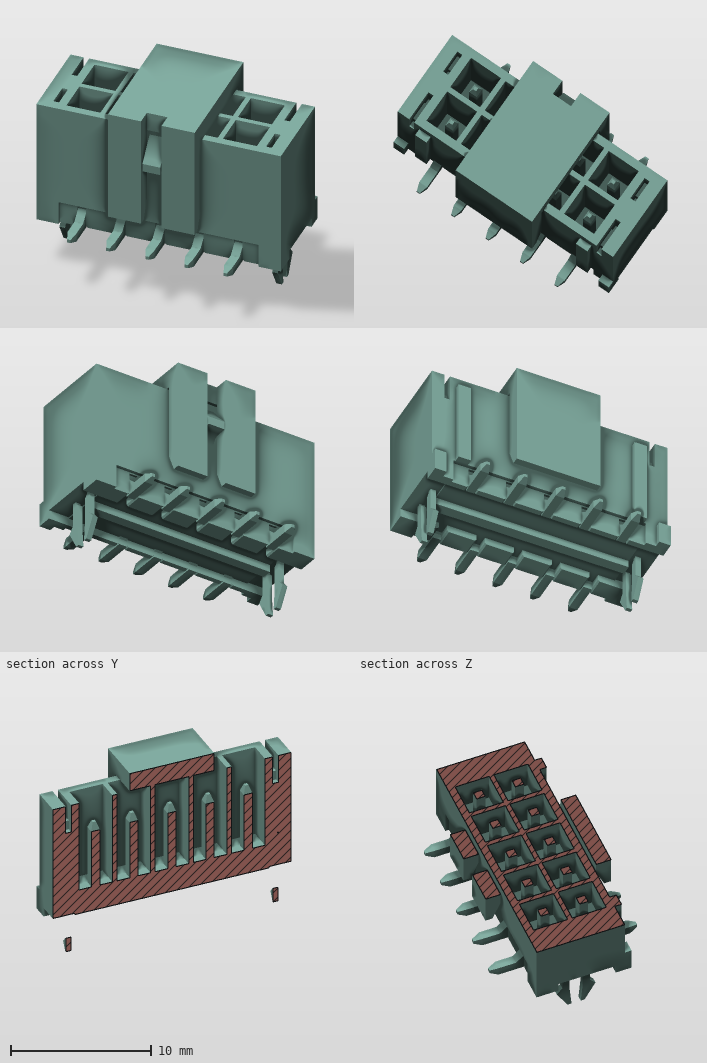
import cadquery as cq
import math


housing_length = 18.7
housing_depth = 6.83
housing_height = 9.9
half_length = housing_length / 2
half_depth = housing_depth / 2

columns = 5
pitch = 3.0
row_offset = pitch / 2
column_positions = [(i - (columns - 1) / 2) * pitch for i in range(columns)]
cell_size = 2.6
cell_floor = 2.62

recess_length = 15.3
recess_height = 1.87
recess_depth = 0.28
recess_face = half_depth - recess_depth

underside_back = 2.71
underside_front = -1.72
underside_depth = 0.6
end_notch_depth = 0.71
rib_back = 0.56
rib_front = -0.2

pin_width = 0.67
pin_height = 0.7
pin_top = 7.85
pin_reach = 5.7
pin_taper_length = 0.62
pin_tip_width = 0.26
pin_bend_start = 1.4
pin_bend_end = 3.74
pin_heel = underside_back
pin_heel_chamfer = 0.13
channel_height = 1.75
channel_depth = 0.19
channel_face = recess_face - channel_depth
channel_flare = 0.13

back_rib_depth = 0.52
back_rib_inner = 6.49
back_rib_outer = 7.48
back_rib_top = 8.88
corner_foot_length = 0.92

clip_offset = 8.13
clip_thickness = 0.43
clip_center = 0.065
clip_gap = 0.5
clip_relief = 0.22
clip_outer = 1.07
clip_barb = 1.5
clip_tip_inner = 0.35
clip_tip_outer = 0.65
clip_shoulder_z = -1.15
clip_taper_z = -1.45
clip_barb_z = -1.65
clip_tip_z = -3.12
slot_depth = 2.25
slot_step_depth = 1.5
back_slot_start = 1.01
front_slot_start = -2.62
front_slot_end = -0.85
back_clip_start = 1.51
back_clip_end = 2.94
front_clip_end = -1.45

cap_length = 6.64
cap_depth = 9.72
cap_top = 11.37
cap_inner = 3.68
cap_leg_bottom = 2.58
cap_leg_taper_z = 4.02
cap_leg_tip = 4.32
cap_window = 1.57

latch_width = 1.37
latch_top = 9.37
latch_edge_top = 7.75
latch_edge_bottom = 7.1
latch_bottom = 6.43


def block(x_range, y_range, z_range):
    """Axis-aligned box from its three coordinate ranges."""
    size = [end - start for start, end in (x_range, y_range, z_range)]
    return cq.Workplane("XY").box(*size, centered=False).translate((x_range[0], y_range[0], z_range[0]))


def around(center, width):
    """Range of the given width about a centre."""
    return (center - width / 2, center + width / 2)


def extrude_along_x(sketch, center, width):
    """Extrude a closed YZ profile by a width centred at an X position."""
    return sketch.extrude(width / 2, both=True).translate((center, 0, 0))


def profile(points):
    return cq.Workplane("YZ").polyline(points).close()


def both_sides(shape, plane):
    return shape.union(shape.mirror(plane))


def pin_channel(x):
    """Flared channel through the front recess wall that lets one pin out."""
    half = pin_width / 2
    outline = [
        (x - half - channel_flare, 0),
        (x - half, channel_flare),
        (x - half, channel_height),
        (x + half, channel_height),
        (x + half, channel_flare),
        (x + half + channel_flare, 0),
    ]
    channel = cq.Workplane("XZ").polyline(outline).close().extrude(recess_face + underside_front)
    return channel.translate((0, underside_front, 0))


def make_housing():
    body = block(around(0, housing_length), around(0, housing_depth), (0, housing_height))

    front_cuts = block(around(0, recess_length), (-half_depth, -recess_face), (0, recess_height))
    for x in column_positions:
        front_cuts = front_cuts.union(pin_channel(x))
    body = body.cut(both_sides(front_cuts, "XZ"))

    hollow = (underside_front, underside_back)
    body = body.cut(block(around(0, housing_length), hollow, (0, underside_depth)))
    end_notch = block((recess_length / 2, half_length), hollow, (0, end_notch_depth))
    body = body.cut(both_sides(end_notch, "YZ"))
    body = body.union(block(around(0, recess_length), (rib_front, rib_back), (0, underside_depth)))

    cell_centers = [(x, y) for x in column_positions for y in (-row_offset, row_offset)]
    for x, y in cell_centers:
        body = body.cut(block(around(x, cell_size), around(y, cell_size), (cell_floor, housing_height)))
    return body


def make_back_ribs():
    y_range = (half_depth, half_depth + back_rib_depth)
    rib = block((back_rib_inner, back_rib_outer), y_range, (recess_height, back_rib_top))
    foot = block((half_length - corner_foot_length, half_length), y_range, (0, recess_height))
    return both_sides(rib, "YZ").union(both_sides(foot, "YZ"))


def make_clip_slots():
    """Clip slots at both ends, with the seated clips left standing as steps."""
    x_range = around(clip_offset, clip_thickness)
    full_depth = (housing_height - slot_depth, housing_height)
    step = (housing_height - slot_depth, housing_height - slot_step_depth)
    slots = block(x_range, (back_slot_start, half_depth), full_depth)
    slots = slots.union(block(x_range, (front_slot_start, front_slot_end), full_depth))
    slots = slots.cut(block(x_range, (back_clip_start, back_clip_end), step))
    slots = slots.cut(block(x_range, (front_slot_start, front_clip_end), step))
    return both_sides(slots, "YZ")


def tapered_tip():
    """Square point of a pin, standing on the XY plane."""
    base = cq.Workplane("XY").rect(pin_width, pin_height)
    return base.workplane(offset=pin_taper_length).rect(pin_tip_width, pin_tip_width).loft(combine=True)


def make_front_pin(x):
    """Upright contact in its cell with a solder tail bent out to the front."""
    tail_end = pin_reach - pin_taper_length
    upright_end = pin_top - pin_taper_length
    tail_points = [
        (-pin_heel, 0),
        (-tail_end, 0),
        (-tail_end, pin_height),
        (-pin_bend_end, pin_height),
        (-channel_face, pin_bend_start),
        (-channel_face, channel_height),
        (-row_offset, channel_height),
        (-row_offset, underside_depth),
        (-pin_heel + pin_heel_chamfer, underside_depth),
        (-pin_heel, underside_depth - pin_heel_chamfer),
    ]
    tail = extrude_along_x(profile(tail_points), 0, pin_width)
    upright = block(around(0, pin_width), around(-row_offset, pin_height), (underside_depth, upright_end))
    tail_tip = tapered_tip().rotate((0, 0, 0), (1, 0, 0), 90).translate((0, -tail_end, pin_height / 2))
    upright_tip = tapered_tip().translate((0, -row_offset, upright_end))
    return tail.union(upright).union(tail_tip).union(upright_tip).translate((x, 0, 0))


def make_clip(x):
    """Pair of barbed snap legs below one end of the housing."""
    leg_points = [
        (clip_gap + clip_relief, end_notch_depth),
        (clip_gap + clip_relief, underside_depth),
        (clip_gap, underside_depth - clip_relief),
        (clip_gap, clip_taper_z),
        (clip_tip_inner, clip_tip_z),
        (clip_tip_outer, clip_tip_z),
        (clip_barb, clip_barb_z),
        (clip_outer, clip_shoulder_z),
        (clip_outer, end_notch_depth),
    ]
    leg = extrude_along_x(profile(leg_points), x, clip_thickness)
    return both_sides(leg, "XZ").translate((0, clip_center, 0))


def make_cap():
    """U-shaped cap over the middle of the housing, with a window for the latch."""
    outer = cap_depth / 2
    half_outline = [
        (0, housing_height),
        (cap_inner, housing_height),
        (cap_inner, cap_leg_taper_z),
        (cap_leg_tip, cap_leg_bottom),
        (outer, cap_leg_bottom),
        (outer, cap_top),
        (0, cap_top),
    ]
    cap = both_sides(extrude_along_x(profile(half_outline), 0, cap_length), "XZ")
    return cap.cut(block(around(0, cap_window), (-outer, -cap_inner), (cap_leg_bottom, cap_top)))


def make_latch():
    """Ramped hook whose underside meets the housing in a concave fillet."""
    tip = -cap_depth / 2
    fillet = latch_edge_bottom - latch_bottom
    arc_start = -half_depth - fillet
    arc_inset = fillet * math.sqrt(0.5)
    arc_middle = (arc_start + arc_inset, latch_bottom + arc_inset)
    sketch = (
        cq.Workplane("YZ")
        .moveTo(-half_depth, latch_top)
        .lineTo(tip, latch_edge_top)
        .lineTo(tip, latch_edge_bottom)
        .lineTo(arc_start, latch_edge_bottom)
        .threePointArc(arc_middle, (-half_depth, latch_bottom))
        .close()
    )
    return extrude_along_x(sketch, 0, latch_width)


result = make_housing().union(make_back_ribs()).cut(make_clip_slots())
for column_x in column_positions:
    result = result.union(both_sides(make_front_pin(column_x), "XZ"))
for clip_x in (-clip_offset, clip_offset):
    result = result.union(make_clip(clip_x))
result = result.union(make_cap()).union(make_latch())